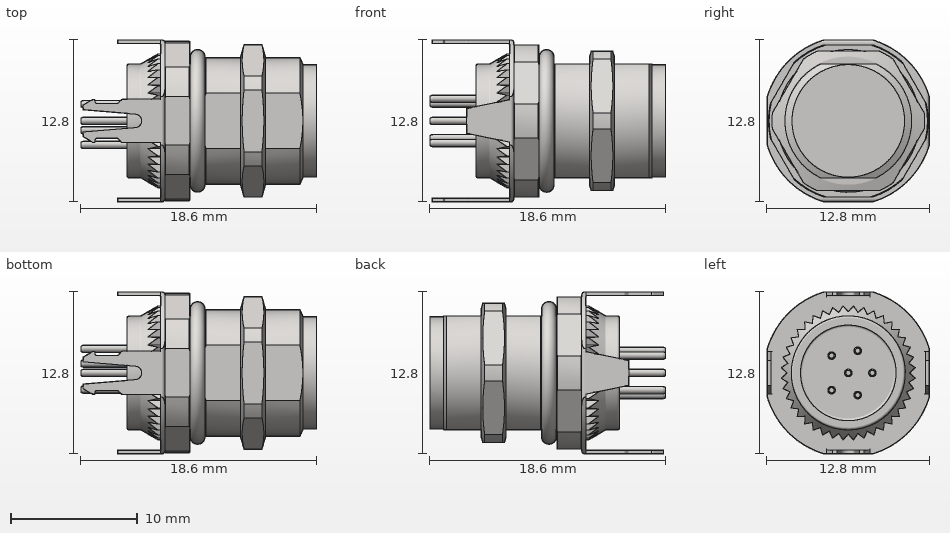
import cadquery as cq
import math


sleeve_start = 3.63
pin_floor_depth = 0.19
sleeve_end = 4.72
cone_end = 6.08
washer_start = 6.29
washer_end = 6.62
flange_end = 8.6
body_start = 9.88
nut_start = 12.6
nut_end = 14.56
body_end = 17.28
spigot_start = 17.54
total_length = 18.6

sleeve_radius = 9.0 / 2
sleeve_rounding = 0.19
cone_blend_radius = 0.19
pin_floor_radius = 3.59
tooth_tip_radius = 5.3
tooth_root_radius = 4.84
tooth_count = 40
neck_radius = 4.48
ring_section_radius = 0.585
ring_outer_radius = 5.64
ring_center_x = 9.2
body_radius = 5.0
body_across_flats = 9.0
body_chamfer = 0.07
spigot_radius = 8.9 / 2

flange_across_flats = 12.02
flange_corner_radius = 6.3
flange_chamfer = 0.05
nut_across_flats = 11.01
nut_corner_radius = 6.03
nut_face_radius = 5.05
nut_chamfer_length = 0.28

washer_radius = 6.68
washer_across_flats = 12.8
outer_bend_radius = 0.25
tab_thickness = 0.3
inner_bend_radius = 0.1
fork_width = 3.42
side_tab_width = 3.35

pin_radius = 0.6 / 2
pin_tip_radius = 0.2
pin_tip_length = 0.25
pin_circle_radius = 1.9
pin_pitch_angle = 67


def revolve_about_x(profile):
    """Turn a closed list of (x, radius) points about the X axis."""
    return cq.Workplane("XY").polyline(profile).close().revolve(360, (0, 0, 0), (1, 0, 0))


def cylinder_x(start, end, radius):
    return cq.Workplane("YZ", origin=(start, 0, 0)).circle(radius).extrude(end - start)


def hexagon_x(start, end, across_flats):
    """Hexagonal prism along X with two flats facing +Z and -Z."""
    across_corners = across_flats / math.cos(math.radians(30))
    return cq.Workplane("YZ", origin=(start, 0, 0)).polygon(6, across_corners).extrude(end - start)


def make_rear_profile():
    """Rear sleeve with a rounded rim and a shallow mouth, blending into a flared cone."""
    pin_floor_x = sleeve_start + pin_floor_depth
    body = revolve_about_x([
        (sleeve_start, 0),
        (sleeve_start, sleeve_radius),
        (sleeve_end, sleeve_radius),
        (cone_end, tooth_tip_radius),
        (washer_start, tooth_tip_radius),
        (washer_start, 0),
    ])
    body = body.faces("<X").edges().fillet(sleeve_rounding)
    blend_seam = cq.selectors.NearestToPointSelector((sleeve_end, 0, 0))
    body = body.edges("%CIRCLE").edges(blend_seam).fillet(cone_blend_radius)
    mouth = (
        cq.Workplane("XY")
        .moveTo(sleeve_start, 0)
        .lineTo(sleeve_start, pin_floor_radius + pin_floor_depth)
        .radiusArc((pin_floor_x, pin_floor_radius), pin_floor_depth)
        .lineTo(pin_floor_x, 0)
        .close()
        .revolve(360, (0, 0, 0), (1, 0, 0))
    )
    return body.cut(mouth)


def make_toothed_sleeve():
    """Rear sleeve whose cone is notched by straight V-grooves into a ring of teeth."""
    half_pitch = math.pi / tooth_count
    star_points = []
    for index in range(2 * tooth_count):
        radius = tooth_tip_radius if index % 2 else tooth_root_radius
        angle = index * half_pitch
        star_points.append((radius * math.cos(angle), radius * math.sin(angle)))
    star = cq.Workplane("YZ", origin=(sleeve_start, 0, 0)).polyline(star_points).close()
    return make_rear_profile().intersect(star.extrude(washer_start - sleeve_start))


def make_washer():
    """Disc with four flats, rounded on the front where the tabs bend away."""
    square = (
        cq.Workplane("YZ", origin=(washer_start, 0, 0))
        .rect(washer_across_flats, washer_across_flats)
        .extrude(washer_end - washer_start)
        .faces(">X").edges().fillet(outer_bend_radius)
    )
    return cylinder_x(washer_start, washer_end, washer_radius).intersect(square)


def round_upright_corners(plate, corners, radius):
    """Round the vertical edges at the given (x, y) corners and at their mirror images across Y = 0."""
    middle_z = washer_across_flats / 2 - tab_thickness / 2
    for x, y in corners:
        for side in (1, -1):
            edge = cq.selectors.NearestToPointSelector((x, side * y, middle_z))
            plate = plate.edges("|Z").edges(edge).fillet(radius)
    return plate


def make_fork():
    """Flat two-pronged solder fork on the top of the washer."""
    half_width = fork_width / 2
    shoulder_x = 3.22
    prong_root_x = 2.9
    prong_half_width = 1.38
    barb_x = 1.12
    barb_peak = 1.8
    barb_rounding = 0.13
    shoulder_rounding = 0.17
    tip_x = 0.17
    tip_outer = 1.25
    tip_inner = 0.87
    slot_radius = 0.53
    slot_arc_x = 4.26
    fork_bottom = washer_across_flats / 2 - tab_thickness

    tip_angle = math.atan2(tip_inner, tip_x - slot_arc_x)
    tip_distance = math.hypot(tip_inner, tip_x - slot_arc_x)
    tangent_angle = tip_angle - math.acos(slot_radius / tip_distance)
    tangent_x = slot_arc_x + slot_radius * math.cos(tangent_angle)
    tangent_y = slot_radius * math.sin(tangent_angle)

    outer_edge = [
        (washer_start, half_width),
        (shoulder_x, half_width),
        (prong_root_x, prong_half_width),
        (barb_x, prong_half_width),
        (barb_x, barb_peak),
        (tip_x, tip_outer),
        (tip_x, tip_inner),
        (tangent_x, tangent_y),
    ]
    mirrored_edge = [(x, -y) for x, y in reversed(outer_edge)]
    fork = (
        cq.Workplane("XY", origin=(0, 0, fork_bottom))
        .polyline(outer_edge)
        .threePointArc((slot_arc_x + slot_radius, 0), mirrored_edge[0])
        .polyline(mirrored_edge[1:], includeCurrent=True)
        .close()
        .extrude(tab_thickness)
    )
    barb_corners = [(barb_x, barb_peak)]
    shoulder_corners = [
        (shoulder_x, half_width),
        (prong_root_x, prong_half_width),
        (barb_x, prong_half_width),
    ]
    fork = round_upright_corners(fork, barb_corners, barb_rounding)
    return round_upright_corners(fork, shoulder_corners, shoulder_rounding)


def make_side_tab():
    """Tapered flat tab on the -Y side of the washer."""
    tab_tip_x = 2.9
    tip_half_width = 0.99
    base_half_width = side_tab_width / 2
    return (
        cq.Workplane("XZ", origin=(0, -washer_across_flats / 2, 0))
        .polyline([
            (washer_start, base_half_width),
            (tab_tip_x, tip_half_width),
            (tab_tip_x, -tip_half_width),
            (washer_start, -base_half_width),
        ])
        .close()
        .extrude(-tab_thickness)
    )


def make_bend_fillet(width):
    """Concave fillet between the washer and the underside of the upper tab."""
    corner_z = washer_across_flats / 2 - tab_thickness
    return (
        cq.Workplane("XZ", origin=(0, width / 2, 0))
        .moveTo(washer_start, corner_z)
        .lineTo(washer_start, corner_z - inner_bend_radius)
        .radiusArc((washer_start - inner_bend_radius, corner_z), -inner_bend_radius)
        .close()
        .extrude(width)
    )


def make_flange():
    """Hexagonal flange with its corners turned round."""
    corners = cylinder_x(washer_end, flange_end, flange_corner_radius).edges().chamfer(flange_chamfer)
    return hexagon_x(washer_end, flange_end, flange_across_flats).intersect(corners)


def make_seal_ring():
    center_radius = ring_outer_radius - ring_section_radius
    return (
        cq.Workplane("XY")
        .center(ring_center_x, center_radius)
        .circle(ring_section_radius)
        .revolve(360, (0, -center_radius, 0), (1, -center_radius, 0))
    )


def make_body():
    """Turned body with flats on top and bottom, then a round spigot."""
    barrel = revolve_about_x([
        (body_start - body_chamfer, 0),
        (body_start - body_chamfer, body_radius - body_chamfer),
        (body_start, body_radius),
        (body_end, body_radius),
        (spigot_start, spigot_radius),
        (spigot_start, 0),
    ])
    flats = cq.Workplane("XY").box(
        total_length, 2 * body_radius, body_across_flats, centered=(False, True, True)
    )
    spigot = cylinder_x(spigot_start, total_length, spigot_radius)
    return barrel.intersect(flats).union(spigot)


def make_nut():
    """Hexagon nut with turned corners and a shallow cone on both faces."""
    turned = revolve_about_x([
        (nut_start, 0),
        (nut_start, nut_face_radius),
        (nut_start + nut_chamfer_length, nut_corner_radius),
        (nut_end - nut_chamfer_length, nut_corner_radius),
        (nut_end, nut_face_radius),
        (nut_end, 0),
    ])
    return hexagon_x(nut_start, nut_end, nut_across_flats).intersect(turned)


def make_pin(y, z):
    nose_depth = pin_radius - pin_tip_radius
    nose_radius = (pin_tip_length**2 + nose_depth**2) / (2 * nose_depth)
    pin = (
        cq.Workplane("XY")
        .moveTo(0, 0)
        .lineTo(0, pin_tip_radius)
        .radiusArc((pin_tip_length, pin_radius), nose_radius)
        .lineTo(sleeve_end, pin_radius)
        .lineTo(sleeve_end, 0)
        .close()
        .revolve(360, (0, 0, 0), (1, 0, 0))
    )
    return pin.translate((0, y, z))


fork = make_fork().union(make_bend_fillet(fork_width))
side_bend = make_bend_fillet(side_tab_width).rotate((0, 0, 0), (1, 0, 0), 90)
side_tab = make_side_tab().union(side_bend)

result = make_toothed_sleeve()
result = result.union(make_washer())
result = result.union(fork).union(fork.mirror("XY"))
result = result.union(side_tab).union(side_tab.mirror("XZ"))
result = result.union(cylinder_x(washer_start, body_start, neck_radius))
result = result.union(make_flange())
result = result.union(make_seal_ring())
result = result.union(make_body())
result = result.union(make_nut())

result = result.union(make_pin(0, 0))
for step in range(-2, 3):
    pin_angle = math.radians(180 + step * pin_pitch_angle)
    pin_y = pin_circle_radius * math.cos(pin_angle)
    pin_z = pin_circle_radius * math.sin(pin_angle)
    result = result.union(make_pin(pin_y, pin_z))